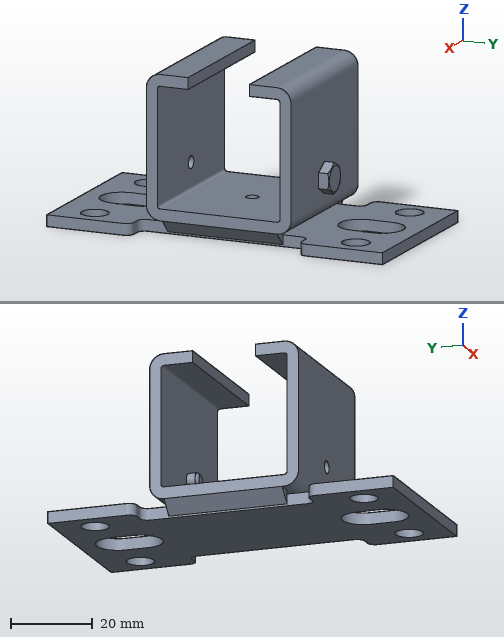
import cadquery as cq
import math

PLATE_WIDTH = 45.0
PLATE_LENGTH = 90.0
PLATE_THICKNESS = 3.0
NECK_WIDTH = 33.0
NECK_LENGTH = 45.0
NOTCH_RADIUS = 2.0
MOUNT_HOLE_DIAMETER = 7.0
MOUNT_HOLE_PITCH_X = 32.0
MOUNT_HOLE_PITCH_Y = 70.0
SLOT_WIDTH = 11.0
SLOT_LENGTH = 17.0
SLOT_PITCH_Y = 64.0

TOTAL_HEIGHT = 41.0
WELD_GAP = 1.0
CHANNEL_LENGTH = 40.0
CHANNEL_WIDTH = 38.8
SHEET_THICKNESS = 3.0
BEND_INNER_RADIUS = 0.75
BEND_OUTER_RADIUS = BEND_INNER_RADIUS + SHEET_THICKNESS
LIP_OPENING = 16.4
CHANNEL_BOTTOM = PLATE_THICKNESS + WELD_GAP
CHANNEL_HEIGHT = TOTAL_HEIGHT - CHANNEL_BOTTOM
CHANNEL_MID_Z = CHANNEL_BOTTOM + CHANNEL_HEIGHT / 2
TAP_HOLE_DIAMETER = 3.24

WELD_LENGTH = 30.8
WELD_START_Y = CHANNEL_WIDTH / 2 - BEND_OUTER_RADIUS
WELD_LEG = (CHANNEL_LENGTH - NECK_WIDTH) / 2

SCREW_AXIS_Z = 14.0
SCREW_DIAMETER = 4.0
SCREW_LENGTH = 6.0
SCREW_TIP_CHAMFER = 0.76
HEAD_ACROSS_FLATS = 7.0
HEAD_ACROSS_CORNERS = HEAD_ACROSS_FLATS / math.cos(math.pi / 6)
HEAD_HEIGHT = 2.8
HEAD_FACE_DIAMETER = 6.65
HEAD_CHAMFER_ANGLE = math.radians(30)
WALL_OUTER_Y = CHANNEL_WIDTH / 2


def make_plate():
    """Plate with a necked middle, four mounting holes and two slots."""
    notch_width = (PLATE_WIDTH - NECK_WIDTH) / 2
    plate = cq.Workplane("XY").box(
        PLATE_WIDTH, PLATE_LENGTH, PLATE_THICKNESS, centered=(True, True, False)
    )
    for side in (-1, 1):
        notch_x = side * (NECK_WIDTH + notch_width) / 2
        notch = (
            cq.Workplane("XY")
            .center(notch_x, 0)
            .rect(notch_width, NECK_LENGTH)
            .extrude(PLATE_THICKNESS)
        )
        plate = plate.cut(notch)

    for end in (-1, 1):
        end_y = end * NECK_LENGTH / 2
        corner_zone = cq.selectors.BoxSelector(
            (-PLATE_WIDTH, end_y - NOTCH_RADIUS, -PLATE_THICKNESS),
            (PLATE_WIDTH, end_y + NOTCH_RADIUS, 2 * PLATE_THICKNESS),
        )
        plate = plate.edges("|Z").edges(corner_zone).fillet(NOTCH_RADIUS)

    holes = (
        cq.Workplane("XY")
        .rarray(MOUNT_HOLE_PITCH_X, MOUNT_HOLE_PITCH_Y, 2, 2)
        .circle(MOUNT_HOLE_DIAMETER / 2)
        .extrude(PLATE_THICKNESS)
    )
    slots = (
        cq.Workplane("XY")
        .rarray(1, SLOT_PITCH_Y, 1, 2)
        .slot2D(SLOT_LENGTH, SLOT_WIDTH, 90)
        .extrude(PLATE_THICKNESS)
    )
    return plate.cut(holes).cut(slots)


def channel_block(width, height, length, corner_radius):
    """Bar along X with rounded long edges, centred on the channel section."""
    return (
        cq.Workplane("XY")
        .box(length, width, height)
        .edges("|X")
        .fillet(corner_radius)
        .translate((0, 0, CHANNEL_MID_Z))
    )


def make_channel():
    """C-channel open at the top, with tapped holes in the floor and the -Y wall."""
    outside = channel_block(CHANNEL_WIDTH, CHANNEL_HEIGHT, CHANNEL_LENGTH, BEND_OUTER_RADIUS)
    inside = channel_block(
        CHANNEL_WIDTH - 2 * SHEET_THICKNESS,
        CHANNEL_HEIGHT - 2 * SHEET_THICKNESS,
        CHANNEL_LENGTH,
        BEND_INNER_RADIUS,
    )
    opening = (
        cq.Workplane("XY", origin=(0, 0, CHANNEL_MID_Z))
        .rect(CHANNEL_LENGTH, LIP_OPENING)
        .extrude(CHANNEL_HEIGHT / 2)
    )
    floor_hole = (
        cq.Workplane("XY", origin=(0, 0, CHANNEL_BOTTOM))
        .circle(TAP_HOLE_DIAMETER / 2)
        .extrude(SHEET_THICKNESS)
    )
    wall_hole = (
        cq.Workplane("XZ", origin=(0, -WALL_OUTER_Y, SCREW_AXIS_Z))
        .circle(TAP_HOLE_DIAMETER / 2)
        .extrude(-SHEET_THICKNESS)
    )
    return outside.cut(inside).cut(opening).cut(floor_hole).cut(wall_hole)


def make_weld(side):
    """Triangular seam between the plate neck edge and the channel end; side is -1 or +1 in X."""
    neck_x = side * NECK_WIDTH / 2
    end_x = side * CHANNEL_LENGTH / 2
    return (
        cq.Workplane("XZ", origin=(0, WELD_START_Y, 0))
        .moveTo(neck_x, CHANNEL_BOTTOM)
        .lineTo(end_x, CHANNEL_BOTTOM)
        .lineTo(neck_x, CHANNEL_BOTTOM - WELD_LEG)
        .close()
        .extrude(WELD_LENGTH)
    )


def make_screw():
    """Hexagon screw along Y with its head against the outside of the +Y wall."""
    head_seat = cq.Workplane("XZ", origin=(0, WALL_OUTER_Y, SCREW_AXIS_Z))
    shank = (
        head_seat.circle(SCREW_DIAMETER / 2)
        .extrude(SCREW_LENGTH)
        .faces("<Y")
        .chamfer(SCREW_TIP_CHAMFER)
    )

    corner_radius = HEAD_ACROSS_CORNERS / 2
    face_radius = HEAD_FACE_DIAMETER / 2
    chamfer_height = (corner_radius - face_radius) * math.tan(HEAD_CHAMFER_ANGLE)
    hexagon = (
        head_seat.transformed(rotate=(0, 0, 90))
        .polygon(6, HEAD_ACROSS_CORNERS)
        .extrude(-HEAD_HEIGHT)
    )
    chamfered_disc = (
        cq.Workplane("XY")
        .lineTo(corner_radius, 0)
        .lineTo(corner_radius, HEAD_HEIGHT - chamfer_height)
        .lineTo(face_radius, HEAD_HEIGHT)
        .lineTo(0, HEAD_HEIGHT)
        .close()
        .revolve(360, (0, 0, 0), (0, 1, 0))
        .translate((0, WALL_OUTER_Y, SCREW_AXIS_Z))
    )
    return shank.union(hexagon.intersect(chamfered_disc))


result = make_plate().union(make_channel()).union(make_screw())
for weld_side in (-1, 1):
    result = result.union(make_weld(weld_side))